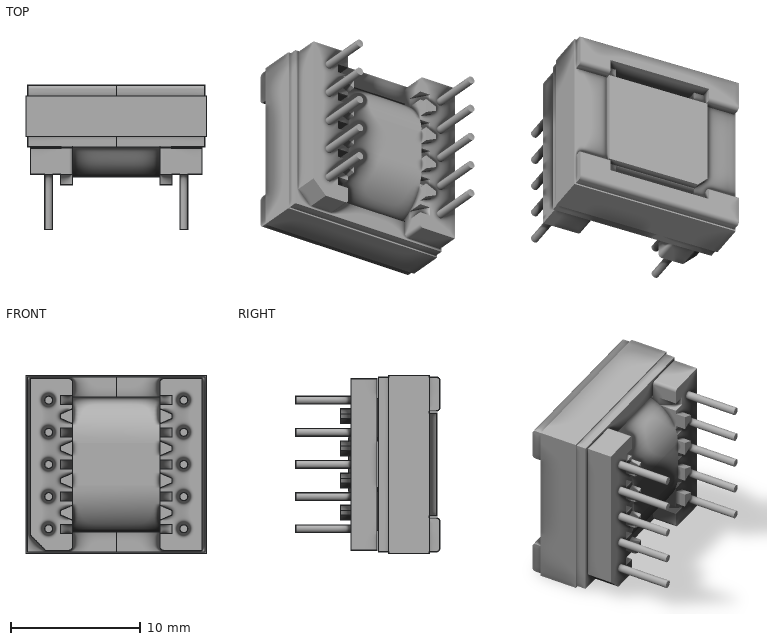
import cadquery as cq


TAPE_LENGTH = 14.0
TAPE_HEIGHT = 13.8
TAPE_THICKNESS = 0.13
TAPE_REAR = 0.83
TAPE_FRONT = 3.98

CORE_LENGTH = TAPE_LENGTH - 2 * TAPE_THICKNESS
CORE_HEIGHT = TAPE_HEIGHT - 2 * TAPE_THICKNESS
CORE_FRONT = 4.77
RECESS_HEIGHT = 8.29
RECESS_DEPTH = TAPE_REAR
REAR_EDGE_RADIUS = 0.3

WINDING_LENGTH = 6.78
WINDING_RADIUS = 3.6
WINDING_FRONT = 7.1
OVAL_STRAIGHT = 3.28
OVAL_CENTRE = WINDING_FRONT - WINDING_RADIUS
WINDING_HEIGHT = OVAL_STRAIGHT + 2 * WINDING_RADIUS
LEG_RADIUS = CORE_FRONT - OVAL_CENTRE

BLOCK_REAR = 4.87
BLOCK_FRONT = 6.92
BLOCK_INNER_X = WINDING_LENGTH / 2
BLOCK_OUTER_X = 6.65
BLOCK_HEIGHT = 13.3
BLOCK_EDGE_RADIUS = 0.25
BLOCK_CORNER_CHAMFER = 1.16

FLANGE_OUTER_X = 4.27
FLANGE_HEIGHT = 10.25
TUBE_WALL = 0.21
BORE_RADIUS = BLOCK_REAR - OVAL_CENTRE
TUBE_RADIUS = BORE_RADIUS + TUBE_WALL
PLATE_REAR = 0.24
PLATE_FRONT = RECESS_DEPTH
PLATE_HEIGHT = 7.95
PLATE_CHAMFER = 0.84

PIN_COUNT = 5
PIN_PITCH = 2.49
PIN_X = 5.24
PIN_RADIUS = 0.31
PIN_END = 11.2
SLOT_WIDTH = 0.7
SLOT_REACH = 0.94
SLOT_DEPTH = 1.47
RIB_BASE_WIDTH = 1.16
RIB_TIP_WIDTH = 0.35
RIB_FRONT = 7.73

PIN_ROWS = [(i - (PIN_COUNT - 1) / 2) * PIN_PITCH for i in range(PIN_COUNT)]
RIB_ROWS = [z + PIN_PITCH / 2 for z in PIN_ROWS[:-1]]


def slab(x_min, x_max, height, rear, front):
    """Box between two X positions and two depths, centred on Z = 0."""
    return (
        cq.Workplane("XZ", origin=((x_min + x_max) / 2, -rear, 0))
        .rect(x_max - x_min, height)
        .extrude(front - rear)
    )


def oval_bar(radius, half_length):
    """Bar along X whose section is an oval stretched along Z."""
    return (
        cq.Workplane("YZ", origin=(0, -OVAL_CENTRE, 0))
        .slot2D(OVAL_STRAIGHT + 2 * radius, 2 * radius, 90)
        .extrude(half_length, both=True)
    )


def mirrored(body):
    """The same shape on the other side of X = 0."""
    return body.mirror("YZ")


def make_tape():
    band = slab(-TAPE_LENGTH / 2, TAPE_LENGTH / 2, TAPE_HEIGHT, TAPE_REAR, TAPE_FRONT)
    inside = slab(-CORE_LENGTH / 2, CORE_LENGTH / 2, CORE_HEIGHT, TAPE_REAR, TAPE_FRONT)
    return band.cut(inside)


def make_core_half():
    """Half of the core on the +X side: end wall, two outer legs and the centre leg."""
    end = CORE_LENGTH / 2
    body = slab(0, end, CORE_HEIGHT, 0, CORE_FRONT)
    body = body.cut(slab(0, end, RECESS_HEIGHT, 0, RECESS_DEPTH))
    body = body.faces(">Y").edges("|X").fillet(REAR_EDGE_RADIUS)
    window = slab(0, FLANGE_OUTER_X, WINDING_HEIGHT, 0, CORE_FRONT)
    centre_leg = oval_bar(LEG_RADIUS, FLANGE_OUTER_X).intersect(window)
    return body.cut(window).union(centre_leg)


def make_winding():
    """Oval coil round the bobbin tube, cut flat against the rear plate."""
    coil = oval_bar(WINDING_RADIUS, WINDING_LENGTH / 2)
    coil = coil.cut(oval_bar(TUBE_RADIUS, WINDING_LENGTH / 2))
    kept = slab(-BLOCK_INNER_X, BLOCK_INNER_X, WINDING_HEIGHT, PLATE_FRONT, WINDING_FRONT)
    return coil.intersect(kept)


def make_wire_slot(z):
    """Triangular wedge that cuts a wire slot into the inner side of a block."""
    return (
        cq.Workplane("XY", origin=(BLOCK_INNER_X, -BLOCK_FRONT, z - SLOT_WIDTH / 2))
        .polyline([(0, 0), (SLOT_REACH, 0), (0, SLOT_DEPTH)])
        .close()
        .extrude(SLOT_WIDTH)
    )


def make_rib(z):
    """Tapered guide rib that stands on the front of a block."""
    base = RIB_BASE_WIDTH / 2
    tip = RIB_TIP_WIDTH / 2
    return (
        cq.Workplane("XZ", origin=(BLOCK_INNER_X, -BLOCK_FRONT, z))
        .polyline([(0, -base), (SLOT_REACH, -tip), (SLOT_REACH, tip), (0, base)])
        .close()
        .extrude(RIB_FRONT - BLOCK_FRONT)
    )


def make_pin(z):
    return (
        cq.Workplane("XZ", origin=(PIN_X, -BLOCK_FRONT, z))
        .circle(PIN_RADIUS)
        .extrude(PIN_END - BLOCK_FRONT)
    )


def make_terminal_block():
    """Terminal block on the +X side with its slots, ribs and pins."""
    block = slab(BLOCK_INNER_X, BLOCK_OUTER_X, BLOCK_HEIGHT, BLOCK_REAR, BLOCK_FRONT)
    block = block.faces("<X").edges("|Y").fillet(BLOCK_EDGE_RADIUS)
    for z in PIN_ROWS:
        block = block.cut(make_wire_slot(z)).union(make_pin(z))
    for z in RIB_ROWS:
        block = block.union(make_rib(z))
    return block


def make_bobbin():
    plate = slab(-FLANGE_OUTER_X, FLANGE_OUTER_X, PLATE_HEIGHT, PLATE_REAR, PLATE_FRONT)
    plate = plate.edges("|Y and <X and <Z").chamfer(PLATE_CHAMFER)

    flange = slab(BLOCK_INNER_X, FLANGE_OUTER_X, FLANGE_HEIGHT, PLATE_FRONT, BLOCK_REAR)
    spool = oval_bar(TUBE_RADIUS, BLOCK_INNER_X).union(flange).union(mirrored(flange))
    spool = spool.cut(oval_bar(BORE_RADIUS, FLANGE_OUTER_X))

    block = make_terminal_block()
    marked_block = mirrored(block).edges("|Y and <X and <Z").chamfer(BLOCK_CORNER_CHAMFER)

    return plate.union(spool).union(block).union(marked_block)


tape = make_tape()
core_right = make_core_half()
core_left = mirrored(core_right)
winding = make_winding()
bobbin = make_bobbin()

result = cq.Compound.makeCompound(
    [body.solids().val() for body in (tape, core_left, core_right, winding, bobbin)]
)